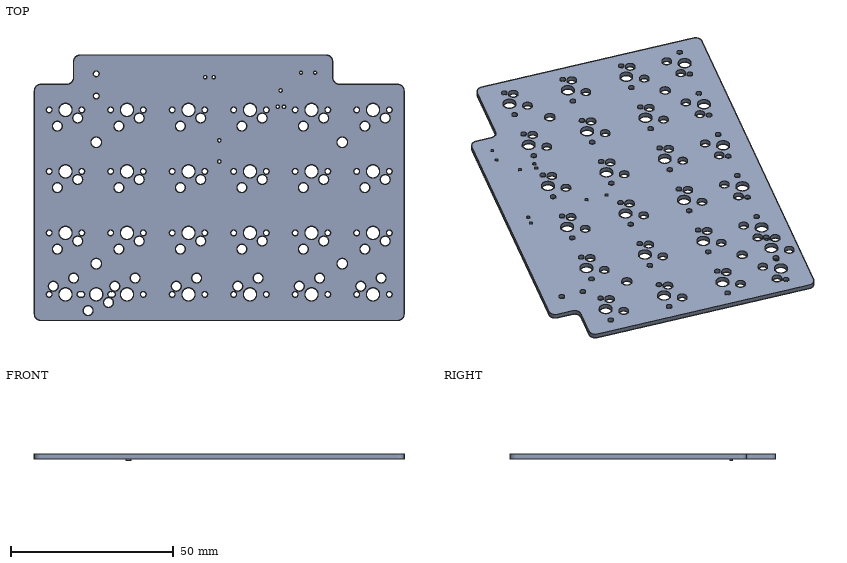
import cadquery as cq

board_width = 114.2
board_depth = 73.0
board_thickness = 1.6
tab_left = -45.0
tab_right = 35.1
tab_depth = 9.0
corner_radius = 2.0

column_count = 6
row_count = 4
column_span = 94.9
key_pitch = column_span / (column_count - 1)
first_column_x = -column_span / 2
first_row_y = 8.1

key_centre_diameter = 4.0
key_side_diameter = 1.7
key_pin_diameter = 3.0
key_side_offset = 5.0
key_pin_offsets = [(-2.5, -5.0), (3.8, -2.5)]

screw_diameter = 3.2
screw_x = -first_column_x - key_pitch / 2
screw_rows_y = [17.6, 55.1]

socket_diameter = 1.7
socket_rows_y = [69.3, 76.2]

wide_lead_diameter = 1.0
wide_lead_points = [
    (-4.3, 75.2),
    (-1.7, 75.2),
    (18.0, 66.0),
    (20.0, 66.0),
    (19.0, 71.1),
    (0, 49.1),
    (0, 55.6),
]
narrow_lead_diameter = 0.9
narrow_lead_points = [(25.2, 76.5), (29.6, 76.5)]

chip_length = 1.6
chip_width = 0.8
chip_height = 0.5
chip_x = -28.0
chip_y = 68.3


def make_blank():
    """Flat board with a tab on its rear edge and rounded corners."""
    half_width = board_width / 2
    tab_rear = board_depth + tab_depth
    return (
        cq.Workplane("XY")
        .moveTo(-half_width, 0)
        .lineTo(half_width, 0)
        .lineTo(half_width, board_depth)
        .lineTo(tab_right, board_depth)
        .lineTo(tab_right, tab_rear)
        .lineTo(tab_left, tab_rear)
        .lineTo(tab_left, board_depth)
        .lineTo(-half_width, board_depth)
        .close()
        .extrude(board_thickness)
        .edges("|Z")
        .fillet(corner_radius)
    )


def drill(body, points, diameter):
    """Cut round through holes at the given points."""
    cutters = cq.Workplane("XY").pushPoints(points).circle(diameter / 2).extrude(board_thickness)
    return body.cut(cutters)


def drill_key(body, x, y, direction):
    """Cut the holes of one key; a direction of -1 turns the key by half a turn."""
    body = drill(body, [(x, y)], key_centre_diameter)
    body = drill(body, [(x - key_side_offset, y), (x + key_side_offset, y)], key_side_diameter)
    pins = [(x + direction * dx, y + direction * dy) for dx, dy in key_pin_offsets]
    return drill(body, pins, key_pin_diameter)


def make_board():
    """Board with the holes of all keys, screws, sockets and component leads."""
    body = make_blank()
    for row in range(row_count):
        direction = -1 if row == 0 else 1
        for column in range(column_count):
            x = first_column_x + column * key_pitch
            y = first_row_y + row * key_pitch
            body = drill_key(body, x, y, direction)
    body = drill_key(body, first_column_x + key_pitch / 2, first_row_y, 1)

    screw_points = [(x, y) for x in (-screw_x, screw_x) for y in screw_rows_y]
    body = drill(body, screw_points, screw_diameter)
    socket_points = [(-screw_x, y) for y in socket_rows_y]
    body = drill(body, socket_points, socket_diameter)
    body = drill(body, wide_lead_points, wide_lead_diameter)
    return drill(body, narrow_lead_points, narrow_lead_diameter)


def make_chip():
    """Small block mounted against the underside of the board."""
    return (
        cq.Workplane("XY")
        .box(chip_length, chip_width, chip_height, centered=(True, True, False))
        .translate((chip_x, chip_y, -chip_height))
    )


board = make_board()
chip = make_chip()
result = cq.Compound.makeCompound([board.val(), chip.val()])